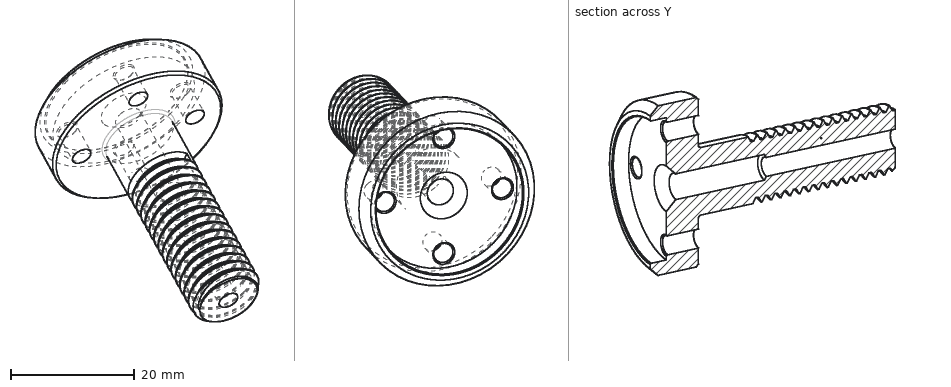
import cadquery as cq
import math

total_length = 45.5

cut_margin = 0.45

head_diameter = 30.0
head_thickness = 9.0
head_front_chamfer = 1.5
head_back_chamfer = 0.45
neck_fillet = 0.45

recess_diameter = 25.02
recess_depth = 3.0
recess_lip_chamfer = 0.2

floor_hole_diameter = 3.28
floor_hole_chamfer = 0.25
floor_hole_circle_radius = 10.0
floor_hole_count = 4

countersink_diameter = 8.0
countersink_angle = 90.0
bore_diameter = 4.45
bore_depth = 18.2
bore_tip_angle = 118.0
through_diameter = 3.28

shank_diameter = 12.0
shank_end_diameter = 10.2
shank_end_chamfer_length = 1.0
thread_turns = 15
thread_turns_length = 26.25
thread_pitch = thread_turns_length / thread_turns
thread_root_diameter = 10.1
thread_root_flat = thread_pitch / 4
thread_flank_angle = 30.0
thread_start_x = 18.75
thread_start_angle = 39.0
thread_mouth_overcut = 0.1

recess_floor_x = recess_depth
shank_radius = shank_diameter / 2

groove_length = total_length - thread_start_x + thread_pitch
stock_end_x = total_length + 3 * thread_pitch


def make_body():
    """Head and plain shank turned around X, with the shank left long for the groove."""
    head_radius = head_diameter / 2
    neck_arc_middle = neck_fillet * (1 - math.cos(math.radians(45)))
    return (
        cq.Workplane("XY")
        .moveTo(0, 0)
        .lineTo(0, head_radius - head_front_chamfer)
        .lineTo(head_front_chamfer, head_radius)
        .lineTo(head_thickness - head_back_chamfer, head_radius)
        .lineTo(head_thickness, head_radius - head_back_chamfer)
        .lineTo(head_thickness, shank_radius + neck_fillet)
        .threePointArc(
            (head_thickness + neck_arc_middle, shank_radius + neck_arc_middle),
            (head_thickness + neck_fillet, shank_radius),
        )
        .lineTo(stock_end_x, shank_radius)
        .lineTo(stock_end_x, 0)
        .close()
        .revolve(360, (0, 0, 0), (1, 0, 0))
    )


def make_end_trim():
    """Material to remove so that the shank ends at its full length with a chamfer."""
    shank_end_radius = shank_end_diameter / 2
    trim_end_x = stock_end_x + cut_margin
    trim_radius = shank_radius + cut_margin
    chamfer_slope = shank_end_chamfer_length / (shank_radius - shank_end_radius)
    chamfer_start_x = total_length - (trim_radius - shank_end_radius) * chamfer_slope
    return (
        cq.Workplane("XY")
        .moveTo(total_length, 0)
        .lineTo(total_length, shank_end_radius)
        .lineTo(chamfer_start_x, trim_radius)
        .lineTo(trim_end_x, trim_radius)
        .lineTo(trim_end_x, 0)
        .close()
        .revolve(360, (0, 0, 0), (1, 0, 0))
    )


def make_recess():
    """Round recess with a small chamfer around its mouth."""
    radius = recess_diameter / 2
    return (
        cq.Workplane("XY")
        .moveTo(0, 0)
        .lineTo(recess_floor_x, 0)
        .lineTo(recess_floor_x, radius)
        .lineTo(recess_lip_chamfer, radius)
        .lineTo(0, radius + recess_lip_chamfer)
        .close()
        .revolve(360, (0, 0, 0), (1, 0, 0))
    )


def make_floor_hole():
    """Through hole on the axis, chamfered where it leaves the recess floor."""
    radius = floor_hole_diameter / 2
    return (
        cq.Workplane("XY")
        .moveTo(recess_floor_x, 0)
        .lineTo(recess_floor_x, radius + floor_hole_chamfer)
        .lineTo(recess_floor_x + floor_hole_chamfer, radius)
        .lineTo(head_thickness + cut_margin, radius)
        .lineTo(head_thickness + cut_margin, 0)
        .close()
        .revolve(360, (0, 0, 0), (1, 0, 0))
    )


def make_bore():
    """Countersink, wide bore with a conical end, and narrow bore to the far end."""
    countersink_radius = countersink_diameter / 2
    bore_radius = bore_diameter / 2
    through_radius = through_diameter / 2
    countersink_slope = math.tan(math.radians(countersink_angle / 2))
    tip_slope = math.tan(math.radians(bore_tip_angle / 2))
    countersink_end_x = recess_floor_x + (countersink_radius - bore_radius) / countersink_slope
    bore_end_x = recess_floor_x + bore_depth
    tip_end_x = bore_end_x + (bore_radius - through_radius) / tip_slope
    return (
        cq.Workplane("XY")
        .moveTo(recess_floor_x, 0)
        .lineTo(recess_floor_x, countersink_radius)
        .lineTo(countersink_end_x, bore_radius)
        .lineTo(bore_end_x, bore_radius)
        .lineTo(tip_end_x, through_radius)
        .lineTo(total_length + cut_margin, through_radius)
        .lineTo(total_length + cut_margin, 0)
        .close()
        .revolve(360, (0, 0, 0), (1, 0, 0))
    )


def make_thread_groove():
    """Helical V groove that runs from its start on the shank out past the end."""
    root_radius = thread_root_diameter / 2
    outer_radius = shank_radius + thread_mouth_overcut
    half_root = thread_root_flat / 2
    flank_slope = math.tan(math.radians(thread_flank_angle))
    half_mouth = half_root + (outer_radius - root_radius) * flank_slope
    helix = cq.Wire.makeHelix(thread_pitch, groove_length, root_radius)
    groove = (
        cq.Workplane("XZ")
        .polyline(
            [
                (root_radius, -half_root),
                (root_radius, half_root),
                (outer_radius, half_mouth),
                (outer_radius, -half_mouth),
            ]
        )
        .close()
        .sweep(cq.Workplane(helix), isFrenet=True)
    )
    start_angle = math.radians(thread_start_angle)
    start_plane = cq.Plane(
        origin=(thread_start_x, 0, 0),
        xDir=(0, math.cos(start_angle), math.sin(start_angle)),
        normal=(1, 0, 0),
    )
    return cq.Workplane(groove.val().moved(cq.Location(start_plane)))


screw = (
    make_body()
    .cut(make_thread_groove())
    .cut(make_end_trim())
    .cut(make_recess())
    .cut(make_bore())
)

for hole_index in range(floor_hole_count):
    hole_angle = 360 / floor_hole_count * hole_index
    floor_hole = make_floor_hole().translate((0, floor_hole_circle_radius, 0))
    screw = screw.cut(floor_hole.rotate((0, 0, 0), (1, 0, 0), hole_angle))

result = screw.solids()